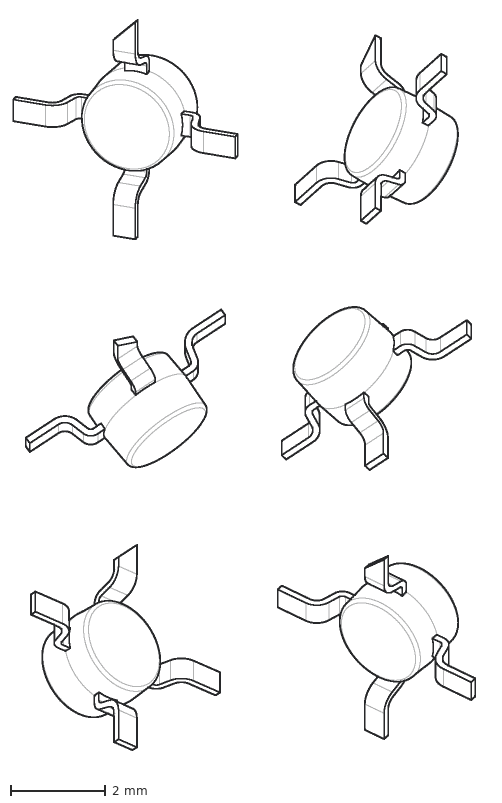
import cadquery as cq
import math

BODY_RADIUS = 1.08
BACK_DEPTH = 0.845
FRONT_DEPTH = 0.67
DRAFT_ANGLE = 3.0
EDGE_FILLET = 0.075

SPAN = 5.08
LEAD_WIDTH = 0.51
LEAD_THICKNESS = 0.15
FORMED_DEPTH = 0.81
FOOT_LENGTH = 0.735
INNER_BEND_RADIUS = 0.1
FOOT_BEND_RADIUS = 0.25
RAMP_ANGLE = 75.0


def body_half(depth):
    """Drafted disc from Y = 0 to Y = depth, with a rounded outer rim."""
    taper = abs(depth) * math.tan(math.radians(DRAFT_ANGLE))
    profile = [(0, 0), (BODY_RADIUS, 0), (BODY_RADIUS - taper, depth), (0, depth)]
    half = cq.Workplane("XY").polyline(profile).close().revolve(360, (0, 0), (0, 1))
    outer_face = ">Y" if depth > 0 else "<Y"
    return half.faces(outer_face).edges().fillet(EDGE_FILLET)


def lead():
    """Lead pointing along +X, with its upper surface starting in the parting plane."""
    sin_ramp = math.sin(math.radians(RAMP_ANGLE))
    cos_ramp = math.cos(math.radians(RAMP_ANGLE))
    tip = SPAN / 2
    foot_top = LEAD_THICKNESS - FORMED_DEPTH
    upper_radius = INNER_BEND_RADIUS + LEAD_THICKNESS
    lower_radius = FOOT_BEND_RADIUS + LEAD_THICKNESS

    foot_x = tip - FOOT_LENGTH
    foot_y = foot_top + FOOT_BEND_RADIUS
    bend_radii = upper_radius + FOOT_BEND_RADIUS
    ramp_drop = -foot_top - bend_radii * (1 - cos_ramp)
    inner_x = foot_x - bend_radii * sin_ramp - ramp_drop * cos_ramp / sin_ramp
    inner_y = -upper_radius

    sin_half = math.sin(math.radians(RAMP_ANGLE / 2))
    cos_half = math.cos(math.radians(RAMP_ANGLE / 2))

    def on_inner_bend(radius, sine, cosine):
        return (inner_x + radius * sine, inner_y + radius * cosine)

    def on_foot_bend(radius, sine, cosine):
        return (foot_x - radius * sine, foot_y - radius * cosine)

    return (
        cq.Workplane("XY")
        .moveTo(0, 0)
        .lineTo(inner_x, 0)
        .threePointArc(
            on_inner_bend(upper_radius, sin_half, cos_half),
            on_inner_bend(upper_radius, sin_ramp, cos_ramp),
        )
        .lineTo(*on_foot_bend(FOOT_BEND_RADIUS, sin_ramp, cos_ramp))
        .threePointArc(
            on_foot_bend(FOOT_BEND_RADIUS, sin_half, cos_half),
            (foot_x, foot_top),
        )
        .lineTo(tip, foot_top)
        .lineTo(tip, -FORMED_DEPTH)
        .lineTo(foot_x, -FORMED_DEPTH)
        .threePointArc(
            on_foot_bend(lower_radius, sin_half, cos_half),
            on_foot_bend(lower_radius, sin_ramp, cos_ramp),
        )
        .lineTo(*on_inner_bend(INNER_BEND_RADIUS, sin_ramp, cos_ramp))
        .threePointArc(
            on_inner_bend(INNER_BEND_RADIUS, sin_half, cos_half),
            (inner_x, -LEAD_THICKNESS),
        )
        .lineTo(0, -LEAD_THICKNESS)
        .close()
        .extrude(LEAD_WIDTH / 2, both=True)
    )


def marker_cut():
    """Wedge that trims the tip of the +Z lead at 45 degrees, leaving its point at +X."""
    tip = SPAN / 2
    side = LEAD_WIDTH / 2
    return (
        cq.Workplane("XZ")
        .polyline([(-side, tip - LEAD_WIDTH), (side, tip), (-side, tip)])
        .close()
        .extrude(FORMED_DEPTH)
    )


result = body_half(BACK_DEPTH).union(body_half(-FRONT_DEPTH))
for angle in (0, 90, 180, 270):
    result = result.union(lead().rotate((0, 0, 0), (0, 1, 0), angle))
result = result.cut(marker_cut())